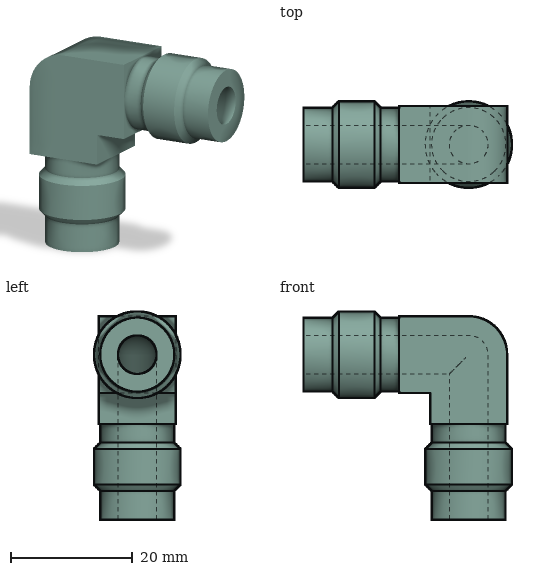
import cadquery as cq

body_width = 12.7
body_reach = 11.43
arm_reach = 27.175
tube_diameter = 12.19
collar_diameter = 14.29
collar_length = 7.94
collar_setback = 4.76
collar_chamfer = (collar_diameter - tube_diameter) / 2
bore_diameter = 6.35

half_width = body_width / 2
outer_corner_radius = half_width
bore_radius = bore_diameter / 2

ARM_DIRECTIONS = [cq.Vector(-1, 0, 0), cq.Vector(0, 0, -1)]


def rod(direction, start, end, diameter):
    """Cylinder along an arm axis, between two distances from the origin."""
    solid = cq.Solid.makeCylinder(diameter / 2, end - start, direction * start, direction)
    return cq.Workplane(obj=solid)


def make_body():
    """L-shaped block of square section with a rounded outer corner."""
    outer_corner = (
        cq.Workplane("XZ")
        .moveTo(-body_reach, half_width)
        .lineTo(half_width - outer_corner_radius, half_width)
        .radiusArc((half_width, half_width - outer_corner_radius), outer_corner_radius)
        .lineTo(half_width, -body_reach)
    )
    outline = (
        outer_corner
        .lineTo(-half_width, -body_reach)
        .lineTo(-half_width, -half_width)
        .lineTo(-body_reach, -half_width)
        .close()
    )
    return outline.extrude(half_width, both=True)


def make_arm(direction):
    """Round tube with a collar chamfered down to the tube at both ends."""
    collar_end = arm_reach - collar_setback
    collar = rod(direction, collar_end - collar_length, collar_end, collar_diameter)
    collar = collar.edges("%CIRCLE").chamfer(collar_chamfer)
    return rod(direction, body_reach, arm_reach, tube_diameter).union(collar)


def make_passage():
    """Two bores joined by a sphere where their axes cross."""
    passage = cq.Workplane("XY").sphere(bore_radius)
    for direction in ARM_DIRECTIONS:
        passage = passage.union(rod(direction, 0, arm_reach, bore_diameter))
    return passage


elbow = make_body()
for arm_direction in ARM_DIRECTIONS:
    elbow = elbow.union(make_arm(arm_direction))
result = elbow.cut(make_passage()).solids()